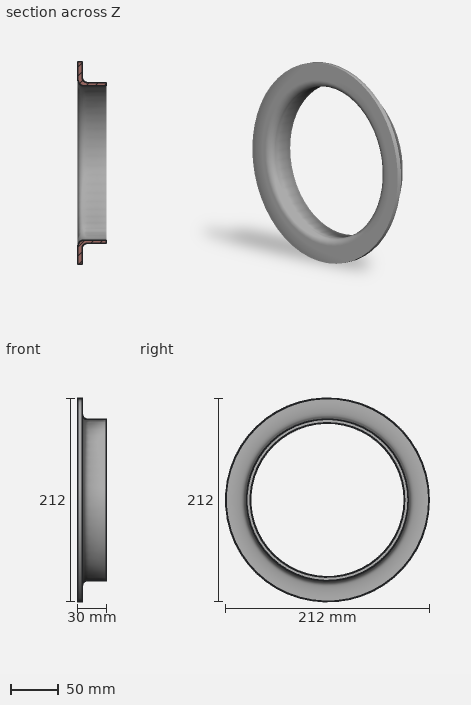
import cadquery as cq

flange_diameter = 212.0
collar_diameter = 168.3
collar_wall = 4.0
flange_thickness = 5.0
total_length = 30.0
mouth_radius = 7.0
root_radius = 5.0

flange_radius = flange_diameter / 2
collar_radius = collar_diameter / 2
bore_radius = collar_radius - collar_wall


def half_section():
    """Section of the ring wall: X is the ring axis, Y is the radius."""
    return (
        cq.Workplane("XY")
        .moveTo(0, flange_radius)
        .lineTo(flange_thickness, flange_radius)
        .lineTo(flange_thickness, collar_radius + root_radius)
        .radiusArc((flange_thickness + root_radius, collar_radius), -root_radius)
        .lineTo(total_length, collar_radius)
        .lineTo(total_length, bore_radius)
        .lineTo(mouth_radius, bore_radius)
        .radiusArc((0, bore_radius + mouth_radius), mouth_radius)
        .close()
    )


result = half_section().revolve(360, (0, 0, 0), (1, 0, 0))